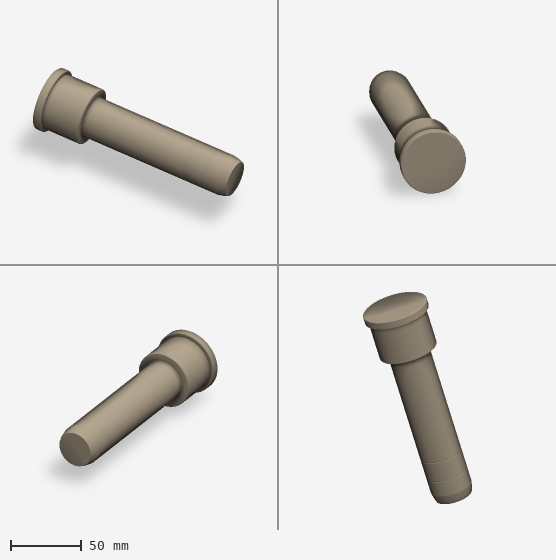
import cadquery as cq

LENGTH = 151.0
EDGE_CHAMFER = 0.5

HEAD_DIAMETER = 47.0
HEAD_LENGTH = 6.0

COLLAR_DIAMETER = 42.0
COLLAR_END = 34.9
LEAD_LENGTH = 5.1
LEAD_REDUCTION = 0.02

SHANK_DIAMETER = 30.0
NECK_FILLET = 0.9

RELIEF_WIDTH = 0.9
RELIEF_DEPTH = 0.3

GROOVE_STARTS = (116.7, 131.7)
GROOVE_WIDTH = 0.9
GROOVE_DEPTH = 0.2

TIP_LENGTH = 7.2
TIP_DIAMETER = 26.1
TIP_BULGE = 0.3


def make_body():
    """Revolve the stepped half profile, without the undercut and the grooves."""
    head_radius = HEAD_DIAMETER / 2
    collar_radius = COLLAR_DIAMETER / 2
    lead_radius = collar_radius - LEAD_REDUCTION
    shank_radius = SHANK_DIAMETER / 2
    lead_start = COLLAR_END - LEAD_LENGTH
    profile = (
        cq.Workplane("XY")
        .lineTo(0, head_radius - EDGE_CHAMFER)
        .lineTo(EDGE_CHAMFER, head_radius)
        .lineTo(HEAD_LENGTH - EDGE_CHAMFER, head_radius)
        .lineTo(HEAD_LENGTH, head_radius - EDGE_CHAMFER)
        .lineTo(HEAD_LENGTH, collar_radius)
        .lineTo(lead_start, collar_radius)
        .lineTo(lead_start, lead_radius)
        .lineTo(COLLAR_END - EDGE_CHAMFER, lead_radius)
        .lineTo(COLLAR_END, lead_radius - EDGE_CHAMFER)
        .lineTo(COLLAR_END, shank_radius + NECK_FILLET)
        .radiusArc((COLLAR_END + NECK_FILLET, shank_radius), -NECK_FILLET)
        .lineTo(LENGTH - TIP_LENGTH, shank_radius)
        .sagittaArc((LENGTH, TIP_DIAMETER / 2), TIP_BULGE)
        .lineTo(LENGTH, 0)
        .close()
    )
    return profile.revolve(360, (0, 0, 0), (1, 0, 0))


def revolve_cutter(profile):
    """Close an open profile and spin it into a ring about the X axis."""
    return profile.close().revolve(360, (0, 0, 0), (1, 0, 0))


def make_relief():
    """Undercut ring: square against the head, sloping back up to the collar surface."""
    collar_radius = COLLAR_DIAMETER / 2
    profile = (
        cq.Workplane("XY")
        .moveTo(HEAD_LENGTH, collar_radius)
        .lineTo(HEAD_LENGTH, collar_radius - RELIEF_DEPTH)
        .lineTo(HEAD_LENGTH + RELIEF_WIDTH, collar_radius)
    )
    return revolve_cutter(profile)


def make_groove(start):
    """Shallow round-bottomed ring groove in the shank."""
    shank_radius = SHANK_DIAMETER / 2
    profile = (
        cq.Workplane("XY")
        .moveTo(start, shank_radius)
        .threePointArc(
            (start + GROOVE_WIDTH / 2, shank_radius - GROOVE_DEPTH),
            (start + GROOVE_WIDTH, shank_radius),
        )
    )
    return revolve_cutter(profile)


result = make_body().cut(make_relief())
for groove_start in GROOVE_STARTS:
    result = result.cut(make_groove(groove_start))